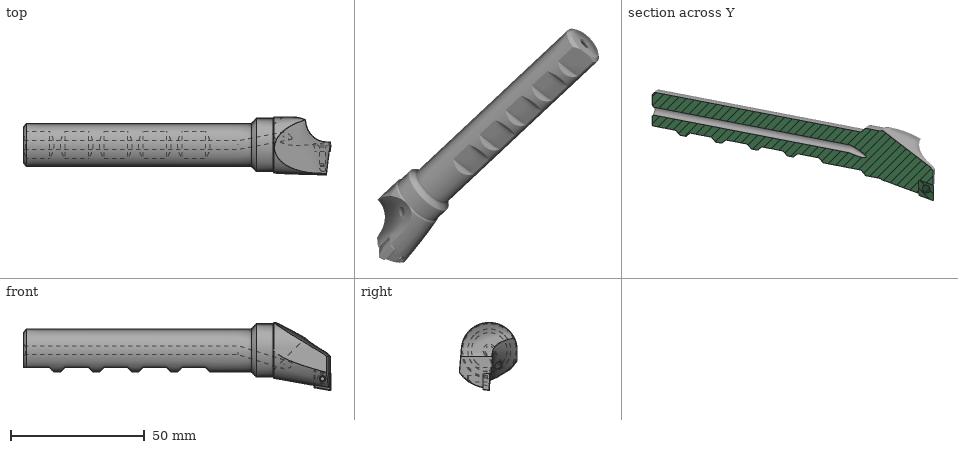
import cadquery as cq
import math


def tan(degrees):
    return math.tan(math.radians(degrees))


def sin(degrees):
    return math.sin(math.radians(degrees))


def cos(degrees):
    return math.cos(math.radians(degrees))


length = 115.0
oversize = 46.0

shank_radius = 8.0
shank_chamfer_length = 1.2
shank_chamfer_depth = 1.4

notch_floor_z = -6.3
notch_pitch = 14.6
first_notch_end = 9.7
tooth_width = 5.9
tooth_slope = 45.0
notch_count = 5
notch_depth = shank_radius + notch_floor_z

collar_radius = 10.0
collar_cone_start = 85.2
collar_start = collar_cone_start + (collar_radius - shank_radius)
collar_end = 93.3

head_radius = 10.5
head_start = collar_end + (head_radius - collar_radius)
head_cone_angle = 10.0
side_roll = 5.0

top_slope = 30.5
top_roll = 5.4
top_start = head_start + 0.2

end_setback = 0.3
end_lean = 7.0
bevel_slope = 45.0
bevel_bottom_z = -2.3
end_x = length - end_setback

flute_radius = 9.7
flute_tilt = 45.0
flute_lean = 5.0
flute_corner_x = 113.2
flute_floor_y = 1.2
flute_origin_z = -1.3

coolant_radius = 1.6
coolant_mouth_radius = 2.3
coolant_bend_x = 80.5
coolant_exit = (104.6, 4.6, -7.5)

insert_edge = 6.4
insert_skew = 10.0
insert_thickness = 2.4
insert_clearance = 7.0
insert_nose_radius = 0.3
insert_bottom_z = -15.1

screw_radius = 1.2
screw_head_radius = 1.8
screw_head_depth = screw_head_radius - screw_radius
screw_end_y = -8.0
screw_end_chamfer = 0.3
screw_x = length - insert_edge / 2 * cos(insert_skew)
screw_z = -10.6


def turned(profile):
    """Revolve an (x, radius) profile about the tool axis."""
    return cq.Workplane("XZ").polyline(profile).close().revolve(360, (0, 0, 0), (1, 0, 0))


def half_space(origin, normal, level_direction):
    """A large block filling the side of a plane that its normal points to."""
    plane = cq.Plane(origin=origin, xDir=level_direction, normal=normal)
    return cq.Workplane(plane).rect(2 * oversize, 2 * oversize).extrude(oversize)


def shank_and_collar():
    return turned([
        (0, 0),
        (0, shank_radius - shank_chamfer_depth),
        (shank_chamfer_length, shank_radius),
        (collar_cone_start, shank_radius),
        (collar_start, collar_radius),
        (collar_end, collar_radius),
        (head_start, head_radius),
        (head_start, 0),
    ])


def shank_notch(start, end):
    spread = notch_depth / tan(tooth_slope)
    outline = [
        (start, notch_floor_z),
        (end, notch_floor_z),
        (end + spread, -shank_radius),
        (start - spread, -shank_radius),
    ]
    return cq.Workplane("XZ").polyline(outline).close().extrude(shank_radius, both=True)


def head_blank():
    cylinder = turned([(head_start, 0), (head_start, head_radius), (length, head_radius), (length, 0)])
    cone_end_radius = head_radius + (length - head_start) * tan(head_cone_angle)
    cone = turned([(head_start, 0), (head_start, head_radius), (length, cone_end_radius), (length, 0)])

    touch_y = -head_radius * cos(side_roll)
    touch_z = head_radius * sin(side_roll)
    below = (
        cq.Workplane("YZ", origin=(head_start, 0, 0))
        .moveTo(head_radius, 0)
        .lineTo(touch_y, touch_z)
        .lineTo(touch_y - (touch_z + oversize) * tan(side_roll), -oversize)
        .lineTo(head_radius, -oversize)
        .close()
        .extrude(length - head_start)
    )
    return cylinder.union(cone.intersect(below))


def top_cutter():
    normal = (tan(top_slope), -tan(top_roll), 1)
    return half_space((top_start, 0, head_radius), normal, (1, 0, -tan(top_slope)))


def end_cutter():
    return half_space((end_x, 0, 0), (1, -tan(end_lean), 0), (0, 0, 1))


def bevel_cutter():
    along_end = (tan(end_lean), 1, 0)
    normal = (tan(bevel_slope), -tan(end_lean) * tan(bevel_slope), 1)
    return half_space((end_x, 0, bevel_bottom_z), normal, along_end)


def flute_cutter():
    milling_direction = (cos(flute_tilt), tan(flute_lean), sin(flute_tilt))
    across = (sin(flute_tilt), 0, -cos(flute_tilt))
    plane = cq.Plane(
        origin=(flute_corner_x, flute_floor_y, flute_origin_z), xDir=across, normal=milling_direction
    )
    arc_middle = (-flute_radius * sin(45), flute_radius * (1 - cos(45)))
    return (
        cq.Workplane(plane)
        .moveTo(oversize, 0)
        .lineTo(0, 0)
        .threePointArc(arc_middle, (-flute_radius, flute_radius))
        .lineTo(-flute_radius, oversize)
        .lineTo(oversize, oversize)
        .close()
        .extrude(oversize, both=True)
    )


def coolant_hole():
    mouth_depth = coolant_mouth_radius - coolant_radius
    bore = turned([
        (0, 0),
        (0, coolant_mouth_radius),
        (mouth_depth, coolant_radius),
        (coolant_bend_x, coolant_radius),
        (coolant_bend_x, 0),
    ])
    bend = cq.Vector(coolant_bend_x, 0, 0)
    path = cq.Vector(*coolant_exit) - bend
    branch = cq.Solid.makeCylinder(coolant_radius, path.Length, bend, path)
    elbow = cq.Workplane("XY", origin=bend.toTuple()).sphere(coolant_radius)
    return bore.union(elbow).union(cq.Workplane(branch))


def insert_outline():
    """Rhombus in the plane y = 0, its lower corner at the end of the tool."""
    back = -insert_edge * cos(insert_skew)
    rise = insert_edge * sin(insert_skew)
    return (
        cq.Workplane("XZ", origin=(length, 0, insert_bottom_z))
        .polyline([(0, 0), (0, insert_edge), (back, insert_edge + rise), (back, rise)])
        .close()
    )


def insert_blank():
    """Insert without its screw hole, its sides narrowing away from the rake face."""
    tapered = insert_outline().extrude(insert_thickness, taper=insert_clearance)
    return tapered.edges("not #Y").fillet(insert_nose_radius)


def make_screw():
    """Countersunk screw along -Y, its head flush with the rake face."""
    return (
        cq.Workplane("XY", origin=(screw_x, 0, screw_z))
        .moveTo(0, 0)
        .lineTo(screw_head_radius, 0)
        .lineTo(screw_radius, -screw_head_depth)
        .lineTo(screw_radius, screw_end_y + screw_end_chamfer)
        .lineTo(screw_radius - screw_end_chamfer, screw_end_y)
        .lineTo(0, screw_end_y)
        .close()
        .revolve(360, (0, 0, 0), (0, 1, 0))
    )


def make_body(insert_seat):
    body = shank_and_collar().union(head_blank())
    body = body.cut(shank_notch(0, first_notch_end))
    for index in range(1, notch_count):
        end = first_notch_end + index * notch_pitch
        body = body.cut(shank_notch(end - (notch_pitch - tooth_width), end))
    for cutter in (top_cutter(), end_cutter(), bevel_cutter(), flute_cutter(), coolant_hole()):
        body = body.cut(cutter)
    pocket_opening = insert_outline().extrude(-flute_floor_y)
    screw_hole = (
        cq.Workplane("XZ", origin=(screw_x, 0, screw_z)).circle(screw_radius).extrude(2 * head_radius)
    )
    return body.cut(insert_seat).cut(pocket_opening).cut(screw_hole)


screw = make_screw()
seat = insert_blank()
insert = seat.cut(screw)
body = make_body(seat)

result = cq.Compound.makeCompound([body.solids().val(), insert.solids().val(), screw.val()])